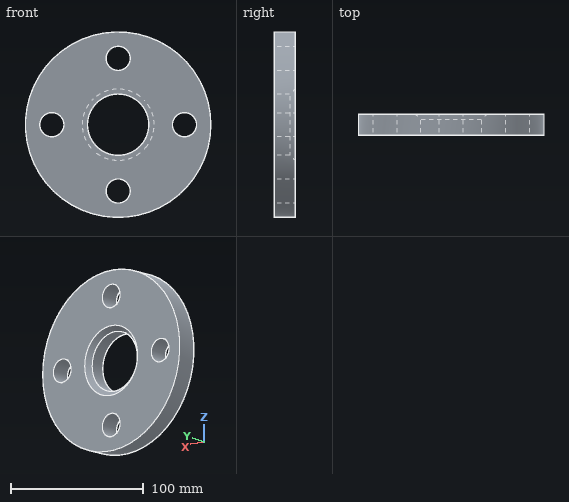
import cadquery as cq

outer_diameter = 140.0
thickness = 16.0
bore_diameter = 46.0
bore_chamfer = 4.0

bolt_circle_diameter = 100.0
bolt_hole_diameter = 18.0
bolt_hole_count = 4

front_y = -thickness / 2
back_y = thickness / 2


def make_disc():
    """Round plate with its faces at front_y and back_y."""
    return (
        cq.Workplane("XZ", origin=(0, back_y, 0))
        .circle(outer_diameter / 2)
        .extrude(thickness)
    )


def make_bore():
    """Central through bore that flares out towards the +Y face."""
    bore_radius = bore_diameter / 2
    return (
        cq.Workplane("XY")
        .moveTo(0, front_y)
        .lineTo(bore_radius, front_y)
        .lineTo(bore_radius, back_y - bore_chamfer)
        .lineTo(bore_radius + bore_chamfer, back_y)
        .lineTo(0, back_y)
        .close()
        .revolve(360, (0, 0, 0), (0, 1, 0))
    )


def make_bolt_holes():
    """Through cylinders evenly spaced on the bolt circle, starting on the X axis."""
    return (
        cq.Workplane("XZ", origin=(0, back_y, 0))
        .polarArray(bolt_circle_diameter / 2, 0, 360, bolt_hole_count)
        .circle(bolt_hole_diameter / 2)
        .extrude(thickness)
    )


result = make_disc().cut(make_bore()).cut(make_bolt_holes())